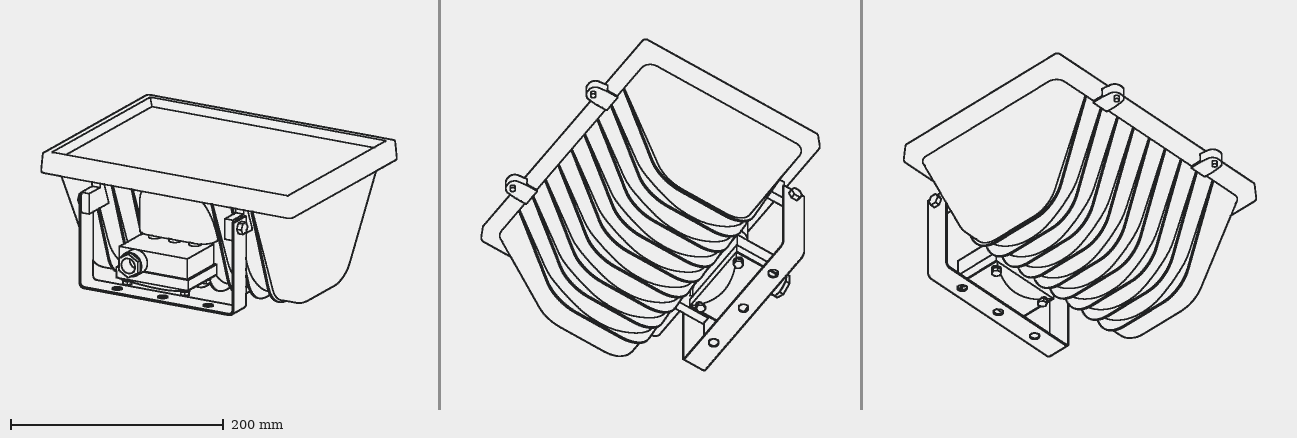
import cadquery as cq
import math


FRAME_LENGTH = 273.5
FRAME_WIDTH = 203.2
FRAME_HEIGHT = 19.5
FRAME_CORNER_RADIUS = 5.5
FRAME_EDGE_FILLET = 2.0
FRAME_BAND = 2.2
FRAME_SIDE_DRAFT = 1.6
FRAME_RIM = 9.0
RECESS_DEPTH = 7.5
RECESS_BEVEL = 4.5

HOUSING_HALF_WIDTH = 90.3
HOUSING_DEPTH = 109.7
HOUSING_BOTTOM_HALF_FLAT = 25.0
HOUSING_BOTTOM_RADIUS = 30.0
PANEL_BOTTOM_RADIUS = 64.3
HOUSING_HALF_LENGTH = 125.8
END_DRAFT_ANGLE = 6.2
END_FILLET = 10.7

RIB_COUNT = 9
RIB_PITCH = 21.5
RIB_DEPTH = 111.5
RIB_BOTTOM_HALF_FLAT = 25.2
RIB_BOTTOM_RADIUS = 35.0
RIB_NOSE_THICKNESS = 1.6
RIB_ROOT_THICKNESS = 6.0
RIB_HEIGHT = 9.0

LUG_SPACING = 133.2
LUG_TIP_Y = 117.0
LUG_ROOT_Y = 82.0
LUG_FRAME_WIDTH = 18.5
LUG_TIP_WIDTH = 15.3
LUG_TIP_FILLET = 7.5
LUG_BOTTOM = -1.6
LUG_TOP = 8.5
COVER_SCREW_Y = 111.3
COVER_SCREW_RADIUS = 2.5
COVER_SCREW_HEAD_RADIUS = 3.3
COVER_SCREW_TOP = 9.8
COVER_SCREW_BOTTOM = -5.5
CROSS_SLOT_LENGTH = 5.0
CROSS_SLOT_WIDTH = 0.8
CROSS_SLOT_DEPTH = 1.0

DUCT_HALF_WIDTH = 40.2
DUCT_CORNER_RADIUS = 15.0
DUCT_FACE_Y = -90.5
DUCT_BOTTOM = -46.0
DUCT_ROOT_Y = -54.7
NECK_COUNT = 3
NECK_PITCH = 22.0
NECK_RADIUS = 5.7
NECK_Y = -83.2

BOX_CENTRE_Y = -98.8
BOX_LENGTH = 73.5
BOX_WIDTH = 49.8
BOX_TOP = -49.5
BOX_BOTTOM = -69.8
COVER_OVERHANG = 2.2
COVER_THICKNESS = 10.5
BULGE_CHORD = 76.0
BULGE_RISE = 8.5
BULGE_BOTTOM_WIDTH = 29.0
BOX_SCREW_X = 31.2
BOX_SCREW_OFFSET_Y = 20.0
BOX_SCREW_RADIUS = 4.7
BOX_SCREW_HEIGHT = 6.8
BOX_WASHER_HEIGHT = 3.3
GLAND_X = -18.3
GLAND_Z = -61.3
GLAND_RADIUS = 11.8
GLAND_ROOT_Y = BOX_CENTRE_Y - BOX_WIDTH / 2
GLAND_NUT_Y = -134.5
GLAND_END_Y = -139.2
GLAND_BORE_RADIUS = 7.5

EAR_THICKNESS = 8.5
EAR_TOP = -5.5
EAR_BOTTOM = -25.7
EAR_TIP_Y = -116.8
EAR_SHOULDER_Y = -96.3
EAR_ROOT_Y = -71.0

BRACKET_HALF_LENGTH = 83.7
BRACKET_THICKNESS = 1.6
BRACKET_INNER_HALF_LENGTH = BRACKET_HALF_LENGTH - BRACKET_THICKNESS
BRACKET_Y = -106.1
BRACKET_WIDTH = 23.5
BRACKET_TOP = -7.7
BRACKET_BOTTOM = -100.0
BRACKET_BEND_RADIUS = 5.5
BRACKET_HOLE_COUNT = 3
BRACKET_HOLE_SPACING = 49.2
BRACKET_HOLE_RADIUS = 4.7
BOLT_Z = -15.5
BOLT_ACROSS_CORNERS = 12.0
BOLT_HEAD_HEIGHT = 5.0

HEX_SIDES = 6


def box_between(x0, x1, y0, y1, z0, z1):
    """A box from its limits along each axis."""
    return cq.Workplane("XY").box(x1 - x0, y1 - y0, z1 - z0, centered=False).translate((x0, y0, z0))


def trough_wire(x, half_width, depth, half_flat, radius, angle, inset=0.0):
    """A closed trough outline at X = x: sloping sides, bottom arcs and a short flat.

    angle is the slope of the sides from vertical, and inset shrinks the sides and the bottom.
    """
    arc_radius = radius - inset
    arc_centre_z = radius - depth
    turn = math.pi / 2 - angle

    def arc_point(share):
        a = share * turn
        return half_flat + arc_radius * math.sin(a), arc_centre_z - arc_radius * math.cos(a)

    top_y = half_width - inset / math.cos(angle)
    middle_y, middle_z = arc_point(0.5)
    tangent_y, tangent_z = arc_point(1.0)
    bottom_z = inset - depth
    return (
        cq.Workplane("YZ", origin=(x, 0, 0))
        .moveTo(top_y, 0)
        .lineTo(tangent_y, tangent_z)
        .threePointArc((middle_y, middle_z), (half_flat, bottom_z))
        .lineTo(-half_flat, bottom_z)
        .threePointArc((-middle_y, middle_z), (-tangent_y, tangent_z))
        .lineTo(-top_y, 0)
        .close()
    )


def slope_angle(half_width, depth, half_flat, radius):
    """Slope from vertical of a side that starts at half_width and touches the bottom arc."""
    across = half_width - half_flat
    down = depth - radius
    return math.acos(radius / math.hypot(across, down)) - math.atan2(down, across)


HOUSING_SLOPE = slope_angle(
    HOUSING_HALF_WIDTH, HOUSING_DEPTH, HOUSING_BOTTOM_HALF_FLAT, HOUSING_BOTTOM_RADIUS
)
RIB_SLOPE = slope_angle(HOUSING_HALF_WIDTH, RIB_DEPTH, RIB_BOTTOM_HALF_FLAT, RIB_BOTTOM_RADIUS)


def make_frame():
    band = (
        cq.Workplane("XY")
        .rect(FRAME_LENGTH, FRAME_WIDTH)
        .extrude(FRAME_BAND)
        .edges("|Z")
        .fillet(FRAME_CORNER_RADIUS)
    )
    drafted_height = FRAME_HEIGHT - FRAME_BAND
    draft = math.degrees(math.atan(FRAME_SIDE_DRAFT / drafted_height))
    rim = band.faces(">Z").wires().toPending().workplane().extrude(drafted_height, taper=draft, combine=False)
    band = band.faces("<Z").edges().fillet(FRAME_EDGE_FILLET)
    rim = rim.faces(">Z").edges().fillet(FRAME_EDGE_FILLET)

    bevel = math.degrees(math.atan(RECESS_BEVEL / RECESS_DEPTH))
    recess = (
        cq.Workplane("XY", origin=(0, 0, FRAME_HEIGHT))
        .rect(FRAME_LENGTH - 2 * FRAME_RIM, FRAME_WIDTH - 2 * FRAME_RIM)
        .extrude(-RECESS_DEPTH, taper=bevel)
    )
    return band.union(rim).cut(recess)


def make_housing():
    """The drafted trough, with the panel between the outermost ribs cut to larger bottom arcs."""
    trough = trough_wire(
        -HOUSING_HALF_LENGTH,
        HOUSING_HALF_WIDTH,
        HOUSING_DEPTH,
        HOUSING_BOTTOM_HALF_FLAT,
        HOUSING_BOTTOM_RADIUS,
        HOUSING_SLOPE,
    ).extrude(2 * HOUSING_HALF_LENGTH)
    bottom_half_length = HOUSING_HALF_LENGTH - HOUSING_DEPTH * math.tan(math.radians(END_DRAFT_ANGLE))
    drafted_ends = (
        cq.Workplane("XZ")
        .polyline(
            [
                (-HOUSING_HALF_LENGTH, 0),
                (HOUSING_HALF_LENGTH, 0),
                (bottom_half_length, -HOUSING_DEPTH),
                (-bottom_half_length, -HOUSING_DEPTH),
            ]
        )
        .close()
        .extrude(HOUSING_HALF_WIDTH, both=True)
    )
    housing = trough.intersect(drafted_ends)
    housing = housing.faces("<X or >X").edges("not >Z").fillet(END_FILLET)

    panel_half_length = RIB_PITCH * (RIB_COUNT - 1) / 2
    panel_half_flat = HOUSING_BOTTOM_HALF_FLAT - (PANEL_BOTTOM_RADIUS - HOUSING_BOTTOM_RADIUS) * math.tan(
        (math.pi / 2 - HOUSING_SLOPE) / 2
    )
    panel = trough_wire(
        -panel_half_length,
        HOUSING_HALF_WIDTH,
        HOUSING_DEPTH,
        panel_half_flat,
        PANEL_BOTTOM_RADIUS,
        HOUSING_SLOPE,
    ).extrude(2 * panel_half_length)
    panel_waste = box_between(
        -panel_half_length,
        panel_half_length,
        -HOUSING_HALF_WIDTH,
        HOUSING_HALF_WIDTH,
        -HOUSING_DEPTH,
        0,
    ).cut(panel)
    return housing.cut(panel_waste)


def make_rib(x):
    """A rib that narrows from its root to its nose."""
    sections = [
        (-RIB_ROOT_THICKNESS / 2, RIB_HEIGHT),
        (-RIB_NOSE_THICKNESS / 2, 0),
        (RIB_NOSE_THICKNESS / 2, 0),
        (RIB_ROOT_THICKNESS / 2, RIB_HEIGHT),
    ]
    wires = [
        trough_wire(
            x + offset,
            HOUSING_HALF_WIDTH,
            RIB_DEPTH,
            RIB_BOTTOM_HALF_FLAT,
            RIB_BOTTOM_RADIUS,
            RIB_SLOPE,
            inset,
        ).val()
        for offset, inset in sections
    ]
    return cq.Workplane(cq.Solid.makeLoft(wires, True))


def make_lug(x):
    """A lug on the +Y side with a cross-head cover screw through it."""
    frame_y = FRAME_WIDTH / 2
    lug = (
        cq.Workplane("XY", origin=(x, 0, LUG_BOTTOM))
        .polyline(
            [
                (-LUG_FRAME_WIDTH / 2, LUG_ROOT_Y),
                (LUG_FRAME_WIDTH / 2, LUG_ROOT_Y),
                (LUG_FRAME_WIDTH / 2, frame_y),
                (LUG_TIP_WIDTH / 2, LUG_TIP_Y),
                (-LUG_TIP_WIDTH / 2, LUG_TIP_Y),
                (-LUG_FRAME_WIDTH / 2, frame_y),
            ]
        )
        .close()
        .extrude(LUG_TOP - LUG_BOTTOM)
        .faces(">Y")
        .edges("|Z")
        .fillet(LUG_TIP_FILLET)
    )
    screw = (
        cq.Workplane("XY", origin=(x, COVER_SCREW_Y, COVER_SCREW_BOTTOM))
        .circle(COVER_SCREW_RADIUS)
        .extrude(COVER_SCREW_TOP - COVER_SCREW_BOTTOM)
    )
    head = (
        cq.Workplane("XY", origin=(x, COVER_SCREW_Y, LUG_TOP))
        .circle(COVER_SCREW_HEAD_RADIUS)
        .extrude(COVER_SCREW_TOP - LUG_TOP)
    )
    slot = cq.Workplane("XY", origin=(x, COVER_SCREW_Y, COVER_SCREW_TOP))
    cross = slot.rect(CROSS_SLOT_LENGTH, CROSS_SLOT_WIDTH).extrude(-CROSS_SLOT_DEPTH)
    cross = cross.union(slot.rect(CROSS_SLOT_WIDTH, CROSS_SLOT_LENGTH).extrude(-CROSS_SLOT_DEPTH))
    return lug.union(screw).union(head).cut(cross)


def make_duct():
    """The cable duct and the necks that lead from it into the terminal box."""
    duct = (
        box_between(-DUCT_HALF_WIDTH, DUCT_HALF_WIDTH, DUCT_FACE_Y, DUCT_ROOT_Y, DUCT_BOTTOM, 0)
        .faces("<Y")
        .edges("|Z")
        .fillet(DUCT_CORNER_RADIUS)
    )
    necks = (
        cq.Workplane("XY", origin=(0, NECK_Y, BOX_TOP))
        .rarray(NECK_PITCH, 2.7, NECK_COUNT, 1)
        .circle(NECK_RADIUS)
        .extrude(DUCT_BOTTOM - BOX_TOP)
    )
    return duct.union(necks)


def make_terminal_box():
    cover_width = BOX_WIDTH + 2 * COVER_OVERHANG
    box = (
        cq.Workplane("XY", origin=(0, BOX_CENTRE_Y, BOX_TOP))
        .rect(BOX_LENGTH, BOX_WIDTH)
        .extrude(BOX_BOTTOM - BOX_TOP)
    )
    cover = (
        cq.Workplane("XY", origin=(0, BOX_CENTRE_Y, BOX_BOTTOM))
        .rect(BOX_LENGTH + 2 * COVER_OVERHANG, cover_width)
        .extrude(-COVER_THICKNESS)
    )
    cover_bottom = BOX_BOTTOM - COVER_THICKNESS
    screw_points = (
        cq.Workplane("XY", origin=(0, BOX_CENTRE_Y, cover_bottom))
        .rect(2 * BOX_SCREW_X, 2 * BOX_SCREW_OFFSET_Y, forConstruction=True)
        .vertices()
    )
    washers = screw_points.circle(BOX_SCREW_RADIUS).extrude(-BOX_WASHER_HEIGHT)
    heads = screw_points.polygon(HEX_SIDES, 2 * BOX_SCREW_RADIUS).extrude(-BOX_SCREW_HEIGHT)
    terminal_box = box.union(cover).union(make_cover_bulge(cover_width, cover_bottom))
    terminal_box = terminal_box.union(washers).union(heads)
    return terminal_box.union(make_gland()).cut(make_gland_bore())


def make_cover_bulge(cover_width, cover_bottom):
    """A bulge under the cover: an arc across X, with sloping faces towards -Y and +Y."""
    arc_segment = (
        cq.Workplane("XZ", origin=(0, BOX_CENTRE_Y, cover_bottom))
        .moveTo(-BULGE_CHORD / 2, 0)
        .threePointArc((0, -BULGE_RISE), (BULGE_CHORD / 2, 0))
        .close()
        .extrude(cover_width / 2, both=True)
    )
    sloped_sides = (
        cq.Workplane("YZ", origin=(0, BOX_CENTRE_Y, cover_bottom))
        .polyline(
            [
                (-cover_width / 2, 0),
                (cover_width / 2, 0),
                (BULGE_BOTTOM_WIDTH / 2, -BULGE_RISE),
                (-BULGE_BOTTOM_WIDTH / 2, -BULGE_RISE),
            ]
        )
        .close()
        .extrude(BULGE_CHORD / 2, both=True)
    )
    return arc_segment.intersect(sloped_sides)


def gland_plane(y):
    """A plane across the gland axis that faces -Y."""
    return cq.Workplane("XZ", origin=(GLAND_X, y, GLAND_Z))


def make_gland():
    sleeve = gland_plane(GLAND_ROOT_Y).circle(GLAND_RADIUS).extrude(GLAND_ROOT_Y - GLAND_NUT_Y)
    nut = (
        gland_plane(GLAND_NUT_Y)
        .transformed(rotate=(0, 0, 90))
        .polygon(HEX_SIDES, 2 * GLAND_RADIUS)
        .extrude(GLAND_NUT_Y - GLAND_END_Y)
    )
    return sleeve.union(nut)


def make_gland_bore():
    """The cable hole, which ends at the wall of the terminal box."""
    return gland_plane(GLAND_ROOT_Y).circle(GLAND_BORE_RADIUS).extrude(GLAND_ROOT_Y - GLAND_END_Y)


def make_ear(side):
    """An L-shaped ear against the inner face of one bracket arm; side is -1 or 1."""
    outer_x = BRACKET_INNER_HALF_LENGTH
    start_x = outer_x - EAR_THICKNESS if side > 0 else -outer_x
    return (
        cq.Workplane("YZ", origin=(start_x, 0, 0))
        .polyline(
            [
                (EAR_ROOT_Y, 0),
                (EAR_SHOULDER_Y, 0),
                (EAR_SHOULDER_Y, EAR_TOP),
                (EAR_TIP_Y, EAR_TOP),
                (EAR_TIP_Y, EAR_BOTTOM),
                (EAR_ROOT_Y, EAR_BOTTOM),
            ]
        )
        .close()
        .extrude(EAR_THICKNESS)
    )


def make_lamp():
    """The floodlight as one solid, from the frame to the terminal box."""
    lamp = make_housing()
    for index in range(RIB_COUNT):
        lamp = lamp.union(make_rib((index - (RIB_COUNT - 1) / 2) * RIB_PITCH))
    lamp = lamp.union(make_frame()).union(make_duct()).union(make_terminal_box())
    for side in (-1, 1):
        lamp = lamp.union(make_lug(side * LUG_SPACING / 2)).union(make_ear(side))
    return lamp


def make_bracket():
    """The U-shaped strap with its floor holes and the bolt heads on its arms."""
    y0 = BRACKET_Y - BRACKET_WIDTH / 2
    y1 = BRACKET_Y + BRACKET_WIDTH / 2
    outside = (
        box_between(-BRACKET_HALF_LENGTH, BRACKET_HALF_LENGTH, y0, y1, BRACKET_BOTTOM, BRACKET_TOP)
        .faces("<Z")
        .edges("|Y")
        .fillet(BRACKET_BEND_RADIUS)
    )
    floor_z = BRACKET_BOTTOM + BRACKET_THICKNESS
    inside = (
        box_between(-BRACKET_INNER_HALF_LENGTH, BRACKET_INNER_HALF_LENGTH, y0, y1, floor_z, BRACKET_TOP)
        .faces("<Z")
        .edges("|Y")
        .fillet(BRACKET_BEND_RADIUS - BRACKET_THICKNESS)
    )
    holes = (
        cq.Workplane("XY", origin=(0, BRACKET_Y, BRACKET_BOTTOM))
        .rarray(BRACKET_HOLE_SPACING, 2.7, BRACKET_HOLE_COUNT, 1)
        .circle(BRACKET_HOLE_RADIUS)
        .extrude(BRACKET_THICKNESS)
    )
    bracket = outside.cut(inside).cut(holes)
    for side in (-1, 1):
        head = (
            cq.Workplane("YZ", origin=(side * BRACKET_HALF_LENGTH, BRACKET_Y, BOLT_Z))
            .polygon(HEX_SIDES, BOLT_ACROSS_CORNERS)
            .extrude(side * BOLT_HEAD_HEIGHT)
        )
        bracket = bracket.union(head)
    return bracket


lamp = make_lamp()
bracket = make_bracket()

result = cq.Compound.makeCompound([lamp.solids().val(), bracket.solids().val()])